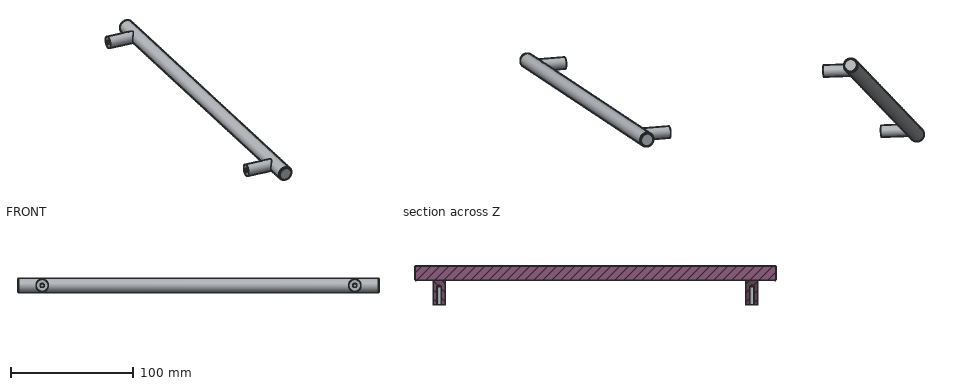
import cadquery as cq
import math

bar_length = 296.0
bar_diameter = 12.0
bar_chamfer = 0.9

overall_depth = 32.0
post_spacing = 256.0
post_diameter = 10.0
screw_hole_diameter = 3.3
screw_hole_depth = 15.0
drill_tip_angle = 118.0

bar_radius = bar_diameter / 2
post_end_y = bar_radius - overall_depth
hole_radius = screw_hole_diameter / 2
drill_tip_length = hole_radius / math.tan(math.radians(drill_tip_angle / 2))


def make_plain_rod():
    """Bar before its ends are chamfered."""
    return cq.Workplane("YZ", origin=(-bar_length / 2, 0, 0)).circle(bar_radius).extrude(bar_length)


def make_bar():
    return make_plain_rod().faces("<X or >X").chamfer(bar_chamfer)


def make_screw_hole(x):
    """Blind hole with a conical drill tip, running from the free end of a post toward the bar."""
    half_section = [
        (0, 0),
        (hole_radius, 0),
        (hole_radius, screw_hole_depth),
        (0, screw_hole_depth + drill_tip_length),
    ]
    return (
        cq.Workplane("XY", origin=(x, post_end_y, 0))
        .polyline(half_section)
        .close()
        .revolve(360, (0, 0), (0, 1))
    )


def make_post(x):
    """Post whose inner end is coped to sit on the round side of the bar."""
    shank = (
        cq.Workplane("XZ", origin=(x, post_end_y, 0))
        .circle(post_diameter / 2)
        .extrude(post_end_y)
    )
    return shank.cut(make_plain_rod()).cut(make_screw_hole(x))


bar = make_bar()
posts = [make_post(side * post_spacing / 2) for side in (-1, 1)]

result = cq.Compound.makeCompound([bar.val(), *[post.val() for post in posts]])